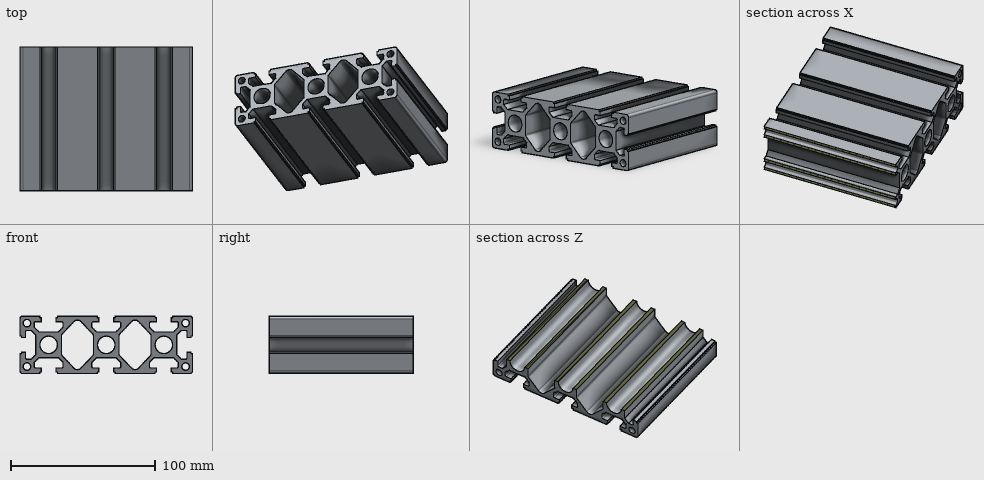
import cadquery as cq
import math

length_x = 120.0
module_count = 3
module = length_x / module_count
depth_y = 2.5 * module
corner_radius = 2.0

core_width = 18.0
mouth_width = 10.1
mouth_step_width = 12.2
mouth_step_depth = 1.1
lip_thickness = 4.0
slot_width = 19.9
slot_floor_width = 13.5
slot_corner_radius = 1.0

core_bore_diameter = 12.0
corner_hole_diameter = 5.0
corner_hole_inset = 4.9
chamber_side_height = 14.2
chamber_web_angle = 46.4
chamber_tip_radius = 3.4
chamber_corner_radius = 1.0

half_module = module / 2
slot_depth = (module - core_width) / 2
slot_chamfer = (slot_width - slot_floor_width) / 2
core_centers_x = [(i - (module_count - 1) / 2) * module for i in range(module_count)]
chamber_centers_x = [(a + b) / 2 for a, b in zip(core_centers_x, core_centers_x[1:])]


def section():
    """Sketch plane of the extrusion: local x is X, local y is Z, extruded along +Y."""
    return cq.Workplane("XZ", origin=(0, -depth_y / 2, 0))


def extrude_section(sketch):
    return sketch.extrude(-depth_y)


def make_slot():
    """Cutter for a T-slot opening upward, on the module centred at the origin."""
    top = half_module
    step = top - mouth_step_depth
    ceiling = top - lip_thickness
    floor = top - slot_depth
    right_side = [
        (mouth_step_width / 2, top),
        (mouth_step_width / 2, step),
        (mouth_width / 2, step),
        (mouth_width / 2, ceiling),
        (slot_width / 2, ceiling),
        (slot_width / 2, floor + slot_chamfer),
        (slot_floor_width / 2, floor),
    ]
    left_side = [(-x, z) for x, z in reversed(right_side)]
    slot = extrude_section(section().polyline(right_side + left_side).close())
    undercut_corners = cq.selectors.BoxSelector(
        (-slot_width, -depth_y, ceiling - slot_corner_radius / 2),
        (slot_width, depth_y, ceiling + slot_corner_radius / 2),
    )
    outer_corners = slot.edges("|Y").edges(undercut_corners).edges("<X or >X")
    return outer_corners.fillet(slot_corner_radius)


def make_chamber():
    """Cutter for the six-sided hollow between two cores, pointed at top and bottom."""
    half_width = (module - core_width) / 2
    half_side = chamber_side_height / 2
    tip = half_side + half_width * math.tan(math.radians(chamber_web_angle))
    corners = [
        (half_width, -half_side),
        (half_width, half_side),
        (0, tip),
        (-half_width, half_side),
        (-half_width, -half_side),
        (0, -tip),
    ]
    chamber = extrude_section(section().polyline(corners).close())
    chamber = chamber.edges("|Y").edges("<Z or >Z").fillet(chamber_tip_radius)
    return chamber.edges("|Y").edges("<X or >X").fillet(chamber_corner_radius)


def turn(body, angle):
    return body.rotate((0, 0, 0), (0, 1, 0), angle)


result = cq.Workplane("XY").box(length_x, depth_y, module)
result = result.edges("|Y").fillet(corner_radius)

slot = make_slot()
for x in core_centers_x:
    result = result.cut(slot.translate((x, 0, 0)))
    result = result.cut(turn(slot, 180).translate((x, 0, 0)))
result = result.cut(turn(slot, -90).translate((core_centers_x[0], 0, 0)))
result = result.cut(turn(slot, 90).translate((core_centers_x[-1], 0, 0)))

chamber = make_chamber()
for x in chamber_centers_x:
    result = result.cut(chamber.translate((x, 0, 0)))

core_points = [(x, 0) for x in core_centers_x]
result = result.cut(extrude_section(section().pushPoints(core_points).circle(core_bore_diameter / 2)))

hole_spacing_x = length_x - 2 * corner_hole_inset
hole_spacing_z = module - 2 * corner_hole_inset
corner_holes = section().rect(hole_spacing_x, hole_spacing_z, forConstruction=True).vertices()
result = result.cut(extrude_section(corner_holes.circle(corner_hole_diameter / 2)))